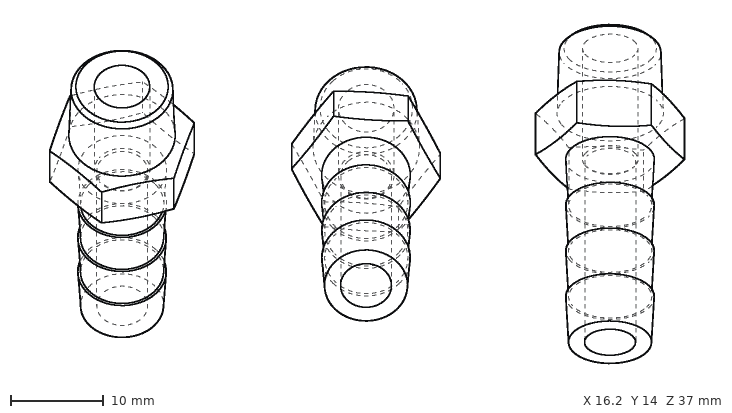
import cadquery as cq
import math

total_length = 37.0
thread_length = 8.2
hex_height = 5.77
barb_count = 4
tail_length = total_length - thread_length - hex_height
barb_pitch = tail_length / barb_count

hex_across_flats = 14.0
hex_across_corners = hex_across_flats / math.cos(math.radians(30))
hex_chamfer_angle = 15.0

thread_base_diameter = 11.5
thread_taper = 1 / 16
thread_chamfer = 0.5

barb_large_diameter = 9.6
barb_small_diameter = 9.0

bore_top_diameter = 6.0
bore_bottom_diameter = 5.5
bore_seat_angle = 90.0


def revolve_profile(points):
    """Revolve a closed outline of (radius, height) points about the Z axis."""
    return cq.Workplane("XZ").polyline(points).close().revolve(360, (0, 0), (0, 1))


def make_hose_tail():
    """Stack of barbs, each widening upward to a sharp step."""
    points = [(0, 0)]
    for index in range(barb_count):
        bottom = index * barb_pitch
        points.append((barb_small_diameter / 2, bottom))
        points.append((barb_large_diameter / 2, bottom + barb_pitch))
    points.append((0, tail_length))
    return revolve_profile(points)


def make_hexagon():
    """Hexagonal collar with its corners chamfered conically at both ends."""
    top = tail_length + hex_height
    face_radius = hex_across_flats / 2
    corner_radius = hex_across_corners / 2
    corner_drop = (corner_radius - face_radius) * math.tan(math.radians(hex_chamfer_angle))
    prism = (
        cq.Workplane("XY")
        .workplane(offset=tail_length)
        .polygon(6, hex_across_corners)
        .extrude(hex_height)
    )
    envelope = revolve_profile([
        (0, tail_length),
        (face_radius, tail_length),
        (corner_radius, tail_length + corner_drop),
        (corner_radius, top - corner_drop),
        (face_radius, top),
        (0, top),
    ])
    return prism.intersect(envelope)


def make_threaded_end():
    """Tapered plain body of the thread with a chamfered tip."""
    base = tail_length + hex_height
    base_radius = thread_base_diameter / 2
    shoulder_height = thread_length - thread_chamfer
    shoulder_radius = base_radius - shoulder_height * thread_taper / 2
    return revolve_profile([
        (0, base),
        (base_radius, base),
        (shoulder_radius, base + shoulder_height),
        (shoulder_radius - thread_chamfer, total_length),
        (0, total_length),
    ])


def make_bore():
    """Stepped through bore with a conical seat between its two diameters."""
    wide_radius = bore_top_diameter / 2
    narrow_radius = bore_bottom_diameter / 2
    seat_height = (wide_radius - narrow_radius) / math.tan(math.radians(bore_seat_angle / 2))
    return revolve_profile([
        (0, 0),
        (narrow_radius, 0),
        (narrow_radius, tail_length - seat_height),
        (wide_radius, tail_length),
        (wide_radius, total_length),
        (0, total_length),
    ])


body = make_hose_tail().union(make_hexagon()).union(make_threaded_end())
result = body.cut(make_bore())